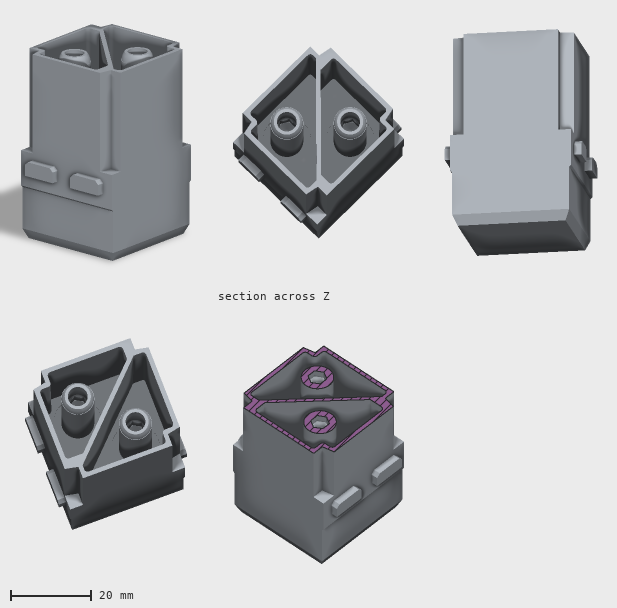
import cadquery as cq
import math

width = 29.4
depth = 30.45
height = 49.0
base_depth = 29.4
step_height = 13.95
step_inset = (depth - base_depth) / 2
foot_height = 2.6
foot_inset = 1.15

notch_floor = 23.15
notch_depth = 3.4
notch_inner_width = 3.15
notch_outer_width = 3.8

overall_depth = 34.2
lug_reach = (overall_depth - depth) / 2
lug_bottom = 17.6
lug_top = 21.3
lug_bevel_height = 0.95
lug_spacing = 14.7
front_lug_width = 9.0
front_lug_bevel = 1.0
back_lug_width = 7.15
back_lug_bevel = 1.2

pocket_floor = notch_floor
side_x = 13.55
end_y = 14.0
notch_side_x = 10.2
notch_end_y = 10.75
short_side_x = 8.7
short_end_y = 9.15
pocket_corner = 0.9
pocket_inset = 0.25
wall_thickness = 1.15
wall_angle = 45.0

pin_offset = 5.55
pin_top = 48.0
pin_diameter = 8.2
nose_diameter = 8.0
nose_tip_diameter = 6.45
nose_length = 2.1
bore_diameter = 4.9
bore_depth = 7.35
lead_in_length = 1.22
socket_sides = 6
socket_size = 4.0
socket_length = 2.95
socket_tip_angle = 118.0
collar_diameter = 12.0
collar_recess = 0.25


def make_body():
    half = depth / 2
    base = base_depth / 2
    profile = [
        (base, foot_height),
        (base, step_height - step_inset),
        (half, step_height),
        (half, height),
    ]
    mirrored = [(-y, z) for y, z in reversed(profile)]
    body = cq.Workplane("YZ").polyline(profile + mirrored).close().extrude(width / 2, both=True)
    slope = math.degrees(math.atan(foot_inset / foot_height))
    foot = (
        cq.Workplane("XY", origin=(0, 0, foot_height))
        .rect(width, base_depth)
        .extrude(-foot_height, taper=slope)
    )
    return body.union(foot)


def make_notch(x_side, y_side):
    edge_x = width / 2
    edge_y = depth / 2
    corners = [
        (edge_x, edge_y),
        (edge_x - notch_outer_width, edge_y),
        (edge_x - notch_inner_width, edge_y - notch_depth),
        (edge_x, edge_y - notch_depth),
    ]
    outline = [(x_side * x, y_side * y) for x, y in corners]
    floor = cq.Workplane("XY", origin=(0, 0, notch_floor))
    return floor.polyline(outline).close().extrude(height - notch_floor)


def make_lug(x_centre, y_side, lug_width, bevel):
    half = lug_width / 2
    outline = [
        (x_centre - half, lug_bottom),
        (x_centre + half, lug_bottom),
        (x_centre + half, lug_top - lug_bevel_height),
        (x_centre + half - bevel, lug_top),
        (x_centre - half + bevel, lug_top),
        (x_centre - half, lug_top - lug_bevel_height),
    ]
    face = cq.Workplane("XZ", origin=(0, y_side * depth / 2, 0))
    return face.polyline(outline).close().extrude(-y_side * lug_reach)


def make_pocket(side, inner_x, inner_y):
    """Pocket around one stepped corner; side is 1 toward +X +Y and -1 toward -X -Y."""
    corners = [
        (-inner_x, -inner_y),
        (-inner_x, end_y),
        (notch_side_x, end_y),
        (notch_side_x, notch_end_y),
        (side_x, notch_end_y),
        (side_x, -inner_y),
    ]
    outline = [(side * x, side * y) for x, y in corners + corners[:1]]
    rounded = cq.Sketch().polygon(outline).vertices().fillet(pocket_corner)
    pocket_depth = height - pocket_floor
    lean = math.degrees(math.atan(pocket_inset / pocket_depth))
    pocket = cq.Workplane("XY").placeSketch(rounded).extrude(-pocket_depth, taper=lean)
    beyond_wall = (
        cq.Workplane("XY")
        .box(2 * width, 2 * width, 2 * height)
        .translate((side * (width + wall_thickness / 2), 0, 0))
        .rotate((0, 0, 0), (0, 0, 1), wall_angle)
    )
    return pocket.intersect(beyond_wall).translate((0, 0, height))


def make_pin():
    pin_bottom = pocket_floor - collar_recess
    nose_bottom = pin_top - nose_length
    lean_in = (nose_diameter - nose_tip_diameter) / 2
    nose_radius = (lean_in**2 + nose_length**2) / (2 * lean_in)
    half_sweep = math.asin(nose_length / nose_radius) / 2
    nose_middle = (
        nose_diameter / 2 - nose_radius * (1 - math.cos(half_sweep)),
        nose_bottom + nose_radius * math.sin(half_sweep),
    )
    profile = (
        cq.Workplane("XZ")
        .moveTo(0, pin_bottom)
        .lineTo(pin_diameter / 2, pin_bottom)
        .lineTo(pin_diameter / 2, nose_bottom)
        .lineTo(nose_diameter / 2, nose_bottom)
        .threePointArc(nose_middle, (nose_tip_diameter / 2, pin_top))
        .lineTo(0, pin_top)
        .close()
    )
    return profile.revolve(360, (0, 0, 0), (0, 1, 0))


def make_pin_bore():
    """Round bore that leads into a hex socket with a drilled end."""
    socket_radius = socket_size / 2
    socket_top = pin_top - bore_depth
    socket_bottom = socket_top - lead_in_length - socket_length
    tip_length = socket_radius / math.tan(math.radians(socket_tip_angle / 2))
    profile = [
        (0, pin_top),
        (bore_diameter / 2, pin_top),
        (bore_diameter / 2, socket_top),
        (socket_radius, socket_top - lead_in_length),
        (socket_radius, socket_bottom),
        (0, socket_bottom - tip_length),
    ]
    bore = cq.Workplane("XZ").polyline(profile).close().revolve(360, (0, 0, 0), (0, 1, 0))
    socket = (
        cq.Workplane("XY", origin=(0, 0, socket_bottom))
        .polygon(socket_sides, socket_size, circumscribed=True)
        .extrude(socket_top - socket_bottom)
        .rotate((0, 0, 0), (0, 0, 1), 180 / socket_sides)
    )
    return bore.union(socket)


def make_collar_recess():
    recess = cq.Workplane("XY", origin=(0, 0, pocket_floor - collar_recess))
    return recess.circle(collar_diameter / 2).extrude(collar_recess)


result = make_body()

for x_side in (-1, 1):
    for y_side in (-1, 1):
        result = result.cut(make_notch(x_side, y_side))
    lug_x = x_side * lug_spacing / 2
    result = result.union(make_lug(lug_x, -1, front_lug_width, front_lug_bevel))
    result = result.union(make_lug(lug_x, 1, back_lug_width, back_lug_bevel))

result = result.cut(make_pocket(1, notch_side_x, notch_end_y))
result = result.cut(make_pocket(-1, short_side_x, short_end_y))

for side in (-1, 1):
    centre = (side * pin_offset, side * pin_offset, 0)
    result = result.cut(make_collar_recess().translate(centre))
    result = result.union(make_pin().translate(centre))
    result = result.cut(make_pin_bore().translate(centre))

result = cq.Workplane(result.solids().val())